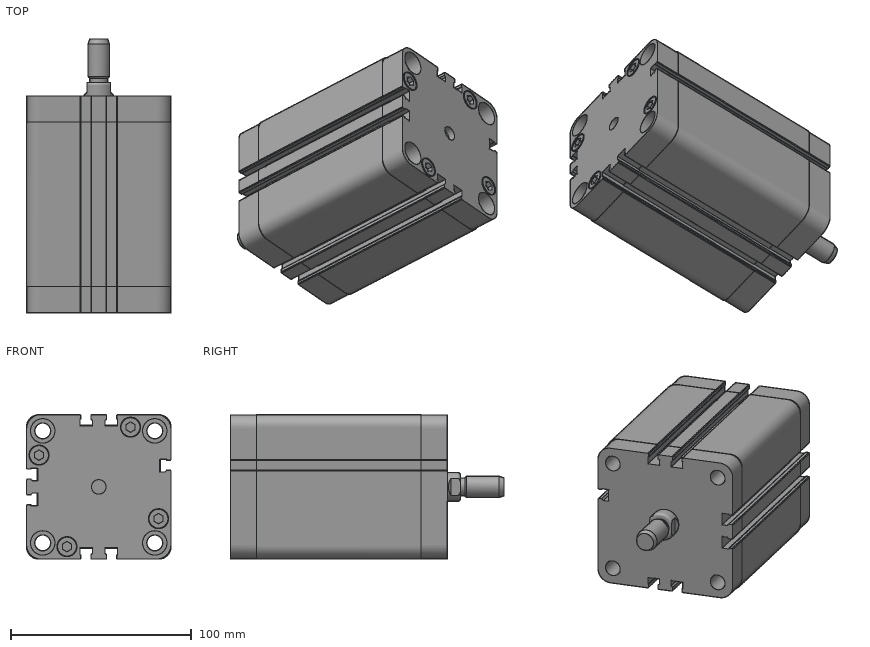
import cadquery as cq

overall_length = 151.5
body_side = 80.0
body_length = 120.0
cap_side = 79.7
cap_length = 14.5
cap_corner_radius = 7.5
tube_corner_radius = 7.0

half_side = body_side / 2
front_y = -overall_length / 2
body_end_y = front_y + body_length
tip_y = overall_length / 2

cap_slot_depth = 6.4
tube_slot_depth = 5.9
slot_mouth_chamfer = 0.5
slot_mouth_width = 5.5
slot_lip = 2.4
slot_outer_undercut = 0.5
slot_inner_undercut = 0.9
slot_pair_offset = 7.1
single_slot_offset = 12.0

mount_spacing = 62.0
mount_hole_diameter = 8.6
mount_bore_diameter = 13.5
mount_bore_depth = 8.3

screw_edge_distance = 33.0
screw_side_offset = 17.5
screw_bore_diameter = 11.0
screw_head_diameter = 10.5
screw_gap_depth = 0.5
hex_across_corners = 5.8
hex_depth = 3.0

centre_bore_diameter = 8.0
centre_bore_depth = 4.0

shaft_diameter = 16.0
shaft_length = 7.4
shaft_end_radius = 1.7
flat_width = 13.0
flat_end_gap = 2.1
neck_diameter = 10.0
neck_length = 2.3
thread_diameter = 12.0
thread_runout = 0.9
tip_diameter = 10.0
tip_chamfer_length = 2.9


def face_plane(y):
    """Plane across the axis at y, with local X = X, local Y = Z, normal = -Y."""
    return cq.Workplane("XZ", origin=(0, y, 0))


def rounded_block(start_y, length, side, corner_radius):
    block = face_plane(start_y).rect(side, side).extrude(-length)
    return block.edges("|Y").fillet(corner_radius)


def slot_cutter(offset, turn, start_y, length, side, depth):
    """Slot in the +Z side at X = offset, cut along Y from start_y, then turned about Y by the given angle."""
    inward = -1 if offset > 0 else 1
    outer_mouth = offset - inward * slot_mouth_width / 2
    inner_mouth = offset + inward * slot_mouth_width / 2
    outer_wall = outer_mouth - inward * slot_outer_undercut
    inner_wall = inner_mouth + inward * slot_inner_undercut
    side_z = side / 2
    lip_z = half_side - slot_lip
    floor_z = half_side - depth
    profile = [
        (outer_mouth - inward * slot_mouth_chamfer, side_z),
        (outer_mouth, side_z - slot_mouth_chamfer),
        (outer_mouth, lip_z),
        (outer_wall, lip_z),
        (outer_wall, floor_z),
        (inner_wall, floor_z),
        (inner_wall, lip_z - slot_inner_undercut),
        (inner_mouth, lip_z),
        (inner_mouth, side_z - slot_mouth_chamfer),
        (inner_mouth + inward * slot_mouth_chamfer, side_z),
    ]
    cutter = face_plane(start_y).polyline(profile).close().extrude(-length)
    return cutter.rotate((0, 0, 0), (0, 1, 0), turn)


def piston_rod():
    shaft_end_y = body_end_y + shaft_length
    thread_start_y = shaft_end_y + neck_length
    shaft = face_plane(body_end_y).circle(shaft_diameter / 2).extrude(-shaft_length)
    shaft = shaft.faces(">Y").edges().fillet(shaft_end_radius)

    flat_x = flat_width / 2
    flat_start_y = body_end_y + flat_end_gap
    flat_profile = [
        (flat_x, shaft_end_y),
        (flat_x, flat_start_y),
        (flat_x + flat_end_gap, body_end_y),
        (flat_x + flat_end_gap, shaft_end_y),
    ]
    flat = cq.Workplane("XY").polyline(flat_profile).close().extrude(shaft_diameter / 2, both=True)
    shaft = shaft.cut(flat).cut(flat.mirror("YZ"))

    end_profile = [
        (0, shaft_end_y),
        (neck_diameter / 2, shaft_end_y),
        (neck_diameter / 2, thread_start_y),
        (thread_diameter / 2, thread_start_y + thread_runout),
        (thread_diameter / 2, tip_y - tip_chamfer_length),
        (tip_diameter / 2, tip_y),
        (0, tip_y),
    ]
    threaded_end = cq.Workplane("XY").polyline(end_profile).close().revolve(360, (0, 0, 0), (0, 1, 0))
    return shaft.union(threaded_end)


tube_length = body_length - 2 * cap_length
tube_start_y = front_y + cap_length
rear_cap_start_y = body_end_y - cap_length
body = rounded_block(front_y, cap_length, cap_side, cap_corner_radius)
body = body.union(rounded_block(tube_start_y, tube_length, body_side, tube_corner_radius))
body = body.union(rounded_block(rear_cap_start_y, cap_length, cap_side, cap_corner_radius))

slot_places = [(-single_slot_offset, 90)]
for turn in (0, 180, -90):
    slot_places += [(slot_pair_offset, turn), (-slot_pair_offset, turn)]

slot_runs = [
    (front_y, cap_length, cap_side, cap_slot_depth),
    (tube_start_y, tube_length, body_side, tube_slot_depth),
    (rear_cap_start_y, cap_length, cap_side, cap_slot_depth),
]
for offset, turn in slot_places:
    for start_y, length, side, depth in slot_runs:
        body = body.cut(slot_cutter(offset, turn, start_y, length, side, depth))

front_face = face_plane(front_y)
mount_points = front_face.rect(mount_spacing, mount_spacing, forConstruction=True).vertices()
body = body.cut(mount_points.circle(mount_hole_diameter / 2).extrude(-body_length))
body = body.cut(mount_points.circle(mount_bore_diameter / 2).extrude(-mount_bore_depth))

screw_points = [
    (screw_side_offset, screw_edge_distance),
    (screw_edge_distance, -screw_side_offset),
    (-screw_side_offset, -screw_edge_distance),
    (-screw_edge_distance, screw_side_offset),
]
ring_gaps = (
    front_face.pushPoints(screw_points)
    .circle(screw_bore_diameter / 2)
    .circle(screw_head_diameter / 2)
    .extrude(-screw_gap_depth)
)
body = body.cut(ring_gaps)
for x, z in screw_points:
    socket = front_face.polygon(6, hex_across_corners).extrude(-hex_depth)
    socket = socket.rotate((0, 0, 0), (0, 1, 0), 90)
    body = body.cut(socket.translate((x, 0, z)))

body = body.cut(front_face.circle(centre_bore_diameter / 2).extrude(-centre_bore_depth))

result = body.union(piston_rod())